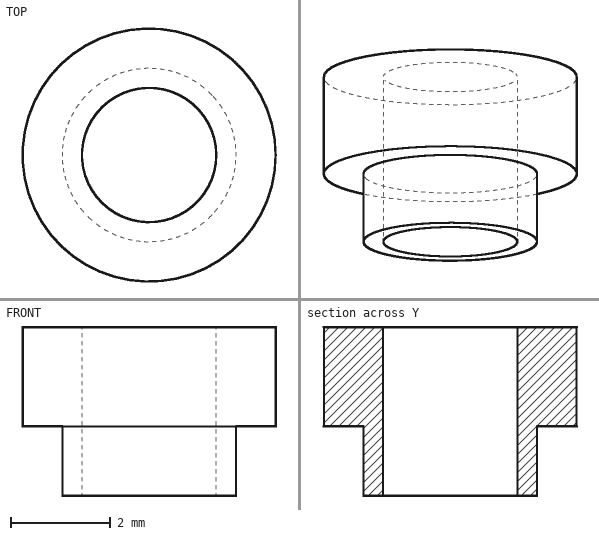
import cadquery as cq

head_diameter = 5.1
head_height = 2.0
shank_diameter = 3.5
shank_length = 1.4
bore_diameter = 2.7

total_height = head_height + shank_length


def make_shank():
    """Narrow cylinder standing on the XY plane, below the head."""
    return cq.Workplane("XY").circle(shank_diameter / 2).extrude(shank_length)


def make_head():
    """Wide cylinder resting on top of the shank."""
    return (
        cq.Workplane("XY")
        .workplane(offset=shank_length)
        .circle(head_diameter / 2)
        .extrude(head_height)
    )


def make_bore():
    """Cutting cylinder for the bore through the full height."""
    return cq.Workplane("XY").circle(bore_diameter / 2).extrude(total_height)


result = make_shank().union(make_head()).cut(make_bore())